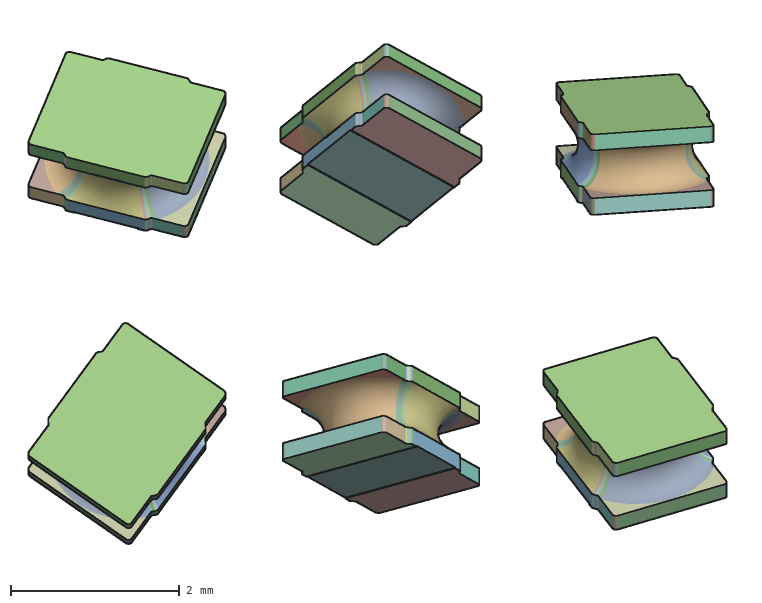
import cadquery as cq
import math


length = 2.0
body_width = 1.5
plate_thickness = 0.2
corner_radius = 0.05
lug_depth = 0.05
lug_tip_length = 1.0
lug_tip_radius = 0.05
lug_base_radius = 0.03
lug_slope = math.radians(45)

gap = 0.6
core_radius = 0.68

pad_thickness = 0.01
pad_spacing = 0.8

half_body = body_width / 2
half_width = half_body + lug_depth
lug_tip_x = lug_tip_length / 2
lug_base_x = lug_tip_x + lug_depth / math.tan(lug_slope)

total_height = 2 * plate_thickness + gap + pad_thickness
bottom_z = -total_height / 2
core_bottom_z = bottom_z + pad_thickness + plate_thickness
core_top_z = core_bottom_z + gap
core_middle_z = core_bottom_z + gap / 2

groove_rim_radius = core_radius + gap / 2
groove_end_x = math.sqrt(groove_rim_radius ** 2 - half_body ** 2)

filler_radius = 0.8 * core_radius
wall_inner_radius = 0.6 * core_radius

lug_section_count = 9


def fillet_at(plate, x, y, radius):
    """Round the four upright edges of the plate at (+-x, +-y)."""
    reach = 0.002
    for edge_x in (-x, x):
        for edge_y in (-y, y):
            around_edge = cq.selectors.BoxSelector(
                (edge_x - reach, edge_y - reach, -total_height),
                (edge_x + reach, edge_y + reach, total_height),
            )
            plate = plate.edges("|Z").edges(around_edge).fillet(radius)
    return plate


def make_plate(plate_bottom_z, thickness):
    """Rounded rectangular plate with a sloped lug on each long side."""
    plane = cq.Workplane("XY", origin=(0, 0, plate_bottom_z))
    body = plane.rect(length, body_width).extrude(thickness)
    lug_outline = [
        (-lug_base_x, -half_body),
        (-lug_tip_x, -half_width),
        (lug_tip_x, -half_width),
        (lug_base_x, -half_body),
        (lug_base_x, half_body),
        (lug_tip_x, half_width),
        (-lug_tip_x, half_width),
        (-lug_base_x, half_body),
    ]
    plate = body.union(plane.polyline(lug_outline).close().extrude(thickness))
    plate = fillet_at(plate, length / 2, half_body, corner_radius)
    plate = fillet_at(plate, lug_tip_x, half_width, lug_tip_radius)
    return fillet_at(plate, lug_base_x, half_body, lug_base_radius)


def make_lower_plate():
    """Plate whose underside is relieved across its middle, leaving a pad at each end."""
    plate = make_plate(bottom_z, pad_thickness + plate_thickness)
    relief = (
        cq.Workplane("XY", origin=(0, 0, bottom_z))
        .rect(pad_spacing, 2 * half_width)
        .extrude(pad_thickness)
    )
    return plate.cut(relief)


def make_core_end():
    """Sector of the core at the +X end, with a half-round groove."""
    half_angle = math.degrees(math.atan2(half_body, groove_end_x))
    return (
        cq.Workplane("XZ")
        .moveTo(0, core_bottom_z)
        .lineTo(groove_rim_radius, core_bottom_z)
        .threePointArc((core_radius, core_middle_z), (groove_rim_radius, core_top_z))
        .lineTo(0, core_top_z)
        .close()
        .revolve(2 * half_angle, (0, 0, 0), (0, 1, 0))
        .rotate((0, 0, 0), (0, 0, 1), -half_angle)
    )


def wall_section(rim_x, rim_y):
    """Radial section of the core wall, grooved by an arc from plate rim to plate rim."""
    rim_radius = math.hypot(rim_x, rim_y)

    def point(radius, z):
        return cq.Vector(radius * rim_x / rim_radius, radius * rim_y / rim_radius, z)

    inner_bottom = point(wall_inner_radius, core_bottom_z)
    inner_top = point(wall_inner_radius, core_top_z)
    rim_bottom = point(rim_radius, core_bottom_z)
    rim_top = point(rim_radius, core_top_z)
    waist = point(core_radius, core_middle_z)
    return cq.Wire.assembleEdges([
        cq.Edge.makeLine(inner_bottom, rim_bottom),
        cq.Edge.makeThreePointArc(rim_bottom, waist, rim_top),
        cq.Edge.makeLine(rim_top, inner_top),
        cq.Edge.makeLine(inner_top, inner_bottom),
    ])


def make_core_side():
    """Wall of the core on the -Y side, whose groove rim follows the edge of the plates."""
    fillet_tangent = math.tan(lug_slope / 2)
    fillet_rise = 1 - math.cos(lug_slope)
    fillet_run = math.sin(lug_slope)
    flat_end_x = lug_tip_x - lug_tip_radius * fillet_tangent
    flat_base_x = lug_base_x + lug_base_radius * fillet_tangent
    rim_points = [
        (flat_end_x, -half_width),
        (flat_end_x + lug_tip_radius * fillet_run, -half_width + lug_tip_radius * fillet_rise),
        (flat_base_x - lug_base_radius * fillet_run, -half_body - lug_base_radius * fillet_rise),
        (flat_base_x, -half_body),
        (groove_end_x, -half_body),
    ]

    step = 2 * flat_end_x / (lug_section_count - 1)
    lug_sections = [
        wall_section(-flat_end_x + i * step, -half_width) for i in range(lug_section_count)
    ]
    side = cq.Workplane(cq.Solid.makeLoft(lug_sections))

    for start, end in zip(rim_points, rim_points[1:]):
        strip = cq.Workplane(cq.Solid.makeLoft([wall_section(*start), wall_section(*end)], True))
        side = side.union(strip).union(strip.mirror("YZ"))
    return side


def make_core():
    """Core with round-grooved ends and sides that flare out to the lugs."""
    core = cq.Workplane("XY", origin=(0, 0, core_bottom_z)).circle(filler_radius).extrude(gap)
    end = make_core_end()
    side = make_core_side()
    for wall in (end, end.mirror("YZ"), side, side.mirror("XZ")):
        core = core.union(wall)
    return core


result = make_core().union(make_lower_plate()).union(make_plate(core_top_z, plate_thickness))